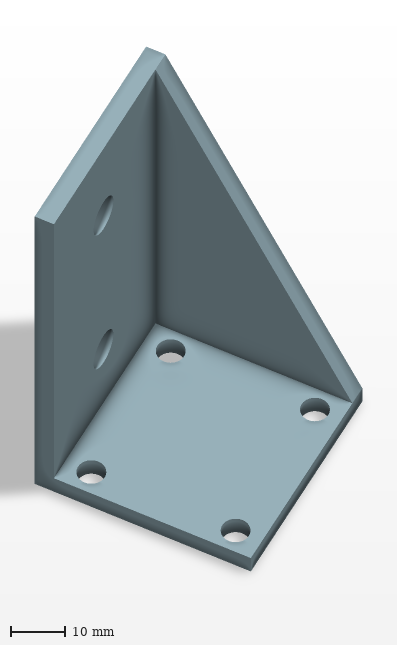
import cadquery as cq

width = 45.0
height = 80.0
thickness = 4.0

base_hole_diameter = 5.5
base_hole_spacing_x = 30.0
base_hole_spacing_y = 32.0

wall_hole_diameter = 8.0
wall_hole_y = 20.0
wall_hole_heights = (height / 4, 3 * height / 4)

base = cq.Workplane("XY").box(width, width, thickness, centered=False)
wall = cq.Workplane("XY").box(thickness, width, height, centered=False)

gusset = (
    cq.Workplane("XZ", origin=(0, width, 0))
    .moveTo(thickness, thickness)
    .lineTo(width, thickness)
    .lineTo(thickness, height)
    .close()
    .extrude(thickness)
)

free_floor = width - thickness
base_holes = (
    cq.Workplane("XY", origin=(thickness + free_floor / 2, free_floor / 2, 0))
    .rect(base_hole_spacing_x, base_hole_spacing_y, forConstruction=True)
    .vertices()
    .circle(base_hole_diameter / 2)
    .extrude(thickness)
)

wall_holes = (
    cq.Workplane("YZ")
    .pushPoints([(wall_hole_y, z) for z in wall_hole_heights])
    .circle(wall_hole_diameter / 2)
    .extrude(thickness)
)

result = base.union(wall).union(gusset).cut(base_holes).cut(wall_holes)